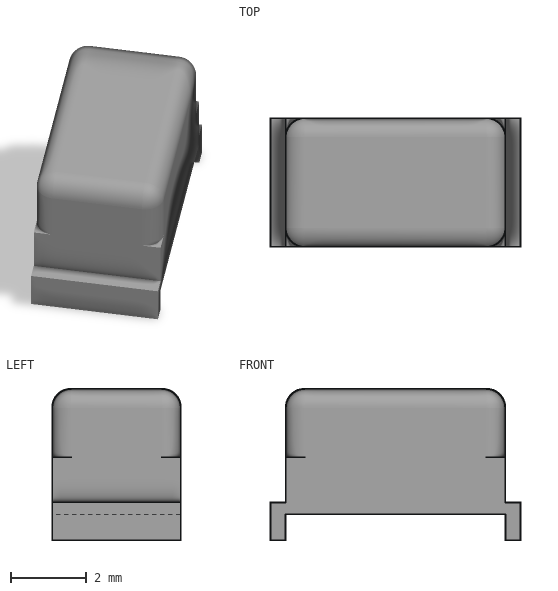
import cadquery as cq

length = 6.6
width = 3.4
height = 4.0

foot_thickness = 0.4
foot_height = 1.0
underside_height = 0.685

cover_base_height = 2.2
edge_radius = 0.5

body_length = length - 2 * foot_thickness


def block(size_x, bottom, top):
    """Full-width block centred on the Z axis between two heights."""
    return (
        cq.Workplane("XY")
        .workplane(offset=bottom)
        .rect(size_x, width)
        .extrude(top - bottom)
    )


base = block(length, 0, foot_height)
base = base.cut(block(body_length, 0, underside_height))

lower_body = block(body_length, underside_height, cover_base_height)

cover = block(body_length, cover_base_height, height)
cover = cover.edges("|Z or >Z").fillet(edge_radius)

result = base.union(lower_body).union(cover)